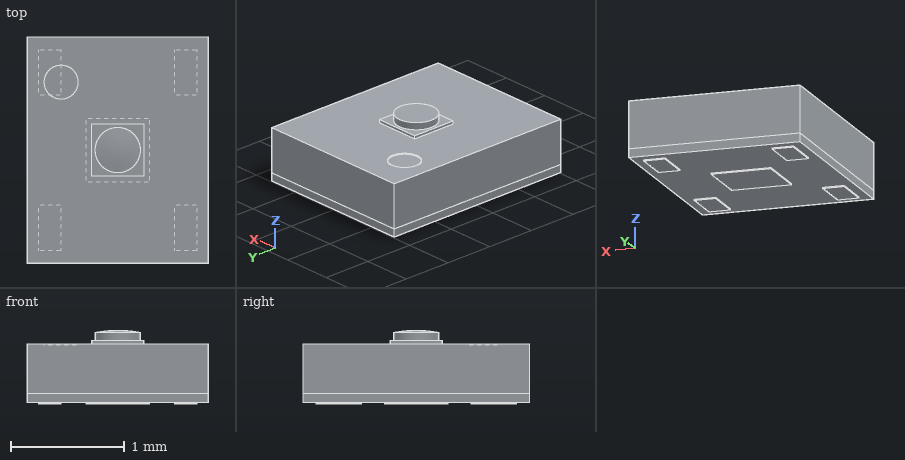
import cadquery as cq

PACKAGE_X = 1.6
PACKAGE_Y = 2.0
TOTAL_HEIGHT = 0.65

PAD_THICKNESS = 0.01
BOARD_THICKNESS = 0.08
LENS_BASE_THICKNESS = 0.03
LENS_WALL_HEIGHT = 0.07
DOME_HEIGHT = 0.02
LENS_HEIGHT = LENS_BASE_THICKNESS + LENS_WALL_HEIGHT + DOME_HEIGHT
HOUSING_HEIGHT = TOTAL_HEIGHT - PAD_THICKNESS - BOARD_THICKNESS - LENS_HEIGHT

BOARD_BOTTOM = PAD_THICKNESS
HOUSING_BOTTOM = BOARD_BOTTOM + BOARD_THICKNESS
HOUSING_TOP = HOUSING_BOTTOM + HOUSING_HEIGHT

LENS_BASE_SIDE = 0.46
LENS_DIAMETER = 0.4

MARK_DIAMETER = 0.3
MARK_X = -0.5
MARK_Y = 0.6
MARK_DEPTH = 0.01

CENTER_PAD_SIDE = 0.56
CORNER_PAD_X = 0.2
CORNER_PAD_Y = 0.4
PAD_MARGIN_X = 0.1
PAD_MARGIN_Y = 0.115
CORNER_PAD_CENTER_X = PACKAGE_X / 2 - PAD_MARGIN_X - CORNER_PAD_X / 2
CORNER_PAD_CENTER_Y = PACKAGE_Y / 2 - PAD_MARGIN_Y - CORNER_PAD_Y / 2


def block(size_x, size_y, height, bottom):
    """Rectangular block centred on the Z axis, standing on the given height."""
    return cq.Workplane("XY", origin=(0, 0, bottom)).rect(size_x, size_y).extrude(height)


def make_board():
    return block(PACKAGE_X, PACKAGE_Y, BOARD_THICKNESS, BOARD_BOTTOM)


def make_housing():
    body = block(PACKAGE_X, PACKAGE_Y, HOUSING_HEIGHT, HOUSING_BOTTOM)
    mark = (
        cq.Workplane("XY", origin=(MARK_X, MARK_Y, HOUSING_TOP))
        .circle(MARK_DIAMETER / 2)
        .extrude(-MARK_DEPTH)
    )
    return body.cut(mark)


def make_lens():
    """Square base carrying a short round wall closed by a shallow spherical dome."""
    base = block(LENS_BASE_SIDE, LENS_BASE_SIDE, LENS_BASE_THICKNESS, HOUSING_TOP)
    radius = LENS_DIAMETER / 2
    dome_radius = (radius**2 + DOME_HEIGHT**2) / (2 * DOME_HEIGHT)
    cylinder = (
        cq.Workplane("XY", origin=(0, 0, HOUSING_TOP + LENS_BASE_THICKNESS))
        .circle(radius)
        .extrude(LENS_WALL_HEIGHT + DOME_HEIGHT)
    )
    sphere = cq.Workplane("XY", origin=(0, 0, TOTAL_HEIGHT - dome_radius)).sphere(dome_radius)
    return base.union(cylinder.intersect(sphere))


def make_pad(size_x, size_y, center_x, center_y):
    return block(size_x, size_y, PAD_THICKNESS, 0).translate((center_x, center_y, 0))


board = make_board()
housing = make_housing()
lens = make_lens()
center_pad = make_pad(CENTER_PAD_SIDE, CENTER_PAD_SIDE, 0, 0)
corner_pads = [
    make_pad(CORNER_PAD_X, CORNER_PAD_Y, side_x * CORNER_PAD_CENTER_X, side_y * CORNER_PAD_CENTER_Y)
    for side_x in (-1, 1)
    for side_y in (-1, 1)
]

result = cq.Compound.makeCompound(
    [board.val(), housing.val(), lens.val(), center_pad.val(), *[pad.val() for pad in corner_pads]]
)